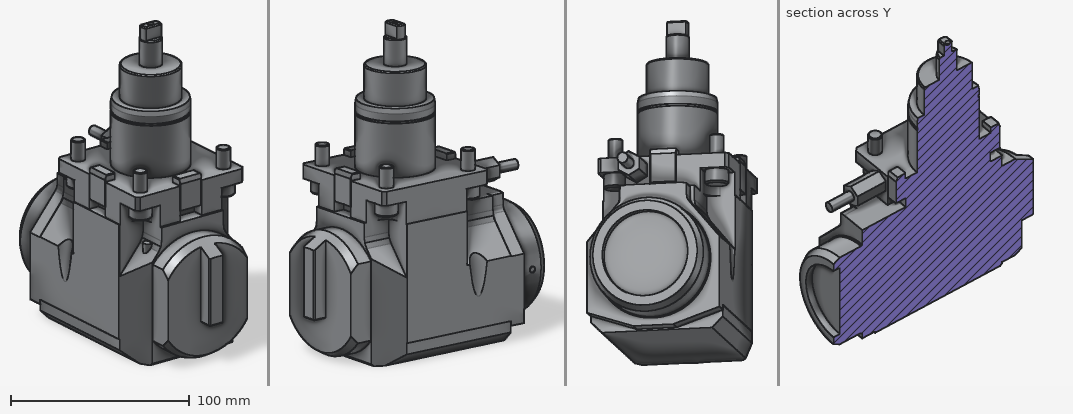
import cadquery as cq
import math

OVERLAP = 1.0
CLEAR = 50.0

TOP_Z = 84.0
TANG_BASE_Z = 76.0
SHAFT_BASE_Z = 60.0
COLLAR_BASE_Z = 40.0
SHAFT_R = 6.5
COLLAR_R = 17.5
PILOT_R = 22.5
SPINDLE_BREAK = 0.8
PILOT_LEAD_LENGTH = 2.8
PILOT_LEAD_DEPTH = 0.6
SEAL_Z = 31.4
SEAL_WIDTH = 1.2
SEAL_DEPTH = 0.5
TANG_THICKNESS = 6.0
TANG_R = 6.15
CENTER_R = 1.7
CENTER_TIP_R = 0.8
CENTER_DEPTH = 1.5

PLATE_SIDE = 75.0
PLATE_HALF = PLATE_SIDE / 2
PLATE_THICKNESS = 8.2
PLATE_CORNER = 2.0
BOLT_OFFSET = 29.0
BOLT_R = 4.0
BOLT_TOP_Z = 12.0
BOLT_HEAD_R = 6.6
BOLT_HEAD_HEIGHT = 8.0
BOLT_BREAK = 0.6
HEAD_BREAK = 1.0
NOTCH_R = 7.5
NOTCH_INNER = BOLT_OFFSET - NOTCH_R
KEY_WIDTH = 15.0
KEY_DEPTH = 6.8
KEY_TOP_Z = 4.0
KEY_BOTTOM_Z = -15.0
KEY_LEAD_LENGTH = 2.9
KEY_LEAD_DEPTH = 1.0
KEY_BREAK = 0.5

HOUSING_TOP_Z = -21.2
HOUSING_BOTTOM_Z = -103.0
HOUSING_HALF = 38.0
FLANGE_X0 = -61.8
HOUSING_X0 = -52.6
HOUSING_X1 = 38.9
SLOPE_BOTTOM_Z = -52.5
SLOPE_ANGLE = 50.0
NECK_HALF = 21.5
NECK_END_Z = -29.3
TRANSITION_HALF = 22.1
TRANSITION_Z = -32.6
SLOPE_TOP_Z = -35.4
BOTTOM_CHAMFER = 6.3
END_BREAK = 1.3
END_CHAMFER_X = 17.8
END_CHAMFER_Y = 10.0
STRIP_TOP_Z = -90.4
STRIP_INSET = 0.2

FLANGE_SLOPE_BOTTOM_Z = -52.8
FLANGE_NECK_HALF = 19.1
FLANGE_FILLET = 5.5
FLANGE_TOP_HALF = 16.3
FLANGE_TOP_DROP = 0.5
FLANGE_BOTTOM_Z = -102.0
FLANGE_BOTTOM_HALF = 11.5
FLANGE_SIDE_Z = -93.2

RELIEF_R = 7.5
RELIEF_X = -29.4
RELIEF_TILT = 9.6
RELIEF_TIP_Z = -71.7

PEG_X = 28.9
PEG_Y = 23.7
PEG_R = 2.7
PEG_TOP_Z = -32.8

CROSS_Z = -65.0
CAP_X0 = -82.5
CAP_X1 = -62.8
CAP_R = 32.5
CAP_CHAMFER_X = 4.3
CAP_CHAMFER_R = 2.6
CAP_NECK_R = 33.0
RECESS_R = 24.5
RECESS_DEPTH = 4.5
SET_SCREW_X = -71.9
SET_SCREW_R = 1.8
SET_SCREW_TOP = 32.9

DISC_R = 36.0
DISC_FLAT_HALF = 27.7
DISC_CONE_X = 48.2
DISC_X1 = 53.2
TONGUE_X1 = 61.5
TONGUE_HALF = 4.9
TONGUE_BOTTOM_Z = -77.8
TONGUE_BREAK = 0.7
CONE_ANGLE = 30.0

GLAND_Y = 14.9
GLAND_Z = -8.0
GLAND_FLATS = 12.0
GLAND_X0 = -58.0
CABLE_X0 = -73.6
CABLE_R = 3.0


def box(x0, x1, y0, y1, z0, z1):
    return cq.Workplane("XY").box(x1 - x0, y1 - y0, z1 - z0, centered=False).translate((x0, y0, z0))


def cylinder_z(x, y, r, z0, z1):
    return cq.Workplane("XY", origin=(x, y, z0)).circle(r).extrude(z1 - z0)


def cylinder_x(y, z, r, x0, x1):
    return cq.Workplane("YZ", origin=(x0, y, z)).circle(r).extrude(x1 - x0)


def mirrored_section(half, x0, x1):
    """Prism along X from the +Y half of a section, drawn from top to bottom."""
    return half.mirrorY().extrude(x1 - x0).translate((x0, 0, 0))


def add_flange_neck_and_slope(sketch):
    """Vertical neck wall blended by an arc into the slope that widens to the full flange."""
    angle = math.radians(SLOPE_ANGLE)
    turn = math.pi / 2 - angle
    corner_z = FLANGE_SLOPE_BOTTOM_Z + (HOUSING_HALF - FLANGE_NECK_HALF) * math.tan(angle)
    arc_start_z = corner_z + FLANGE_FILLET * math.tan(turn / 2)

    def arc_point(a):
        y = FLANGE_NECK_HALF + FLANGE_FILLET * (1 - math.cos(a))
        return (y, arc_start_z - FLANGE_FILLET * math.sin(a))

    sketch = sketch.lineTo(FLANGE_NECK_HALF, arc_start_z)
    sketch = sketch.threePointArc(arc_point(turn / 2), arc_point(turn))
    return sketch.lineTo(HOUSING_HALF, FLANGE_SLOPE_BOTTOM_Z)


def make_spindle():
    lower = cylinder_z(0, 0, PILOT_R, -OVERLAP, COLLAR_BASE_Z)
    lower = lower.faces(">Z").chamfer(PILOT_LEAD_LENGTH, PILOT_LEAD_DEPTH)
    seal_cut = cylinder_z(0, 0, PILOT_R + OVERLAP, SEAL_Z, SEAL_Z + SEAL_WIDTH)
    seal_cut = seal_cut.cut(cylinder_z(0, 0, PILOT_R - SEAL_DEPTH, SEAL_Z, SEAL_Z + SEAL_WIDTH))
    collar = cylinder_z(0, 0, COLLAR_R, COLLAR_BASE_Z, SHAFT_BASE_Z).faces(">Z").chamfer(SPINDLE_BREAK)
    shaft = cylinder_z(0, 0, SHAFT_R, SHAFT_BASE_Z, TANG_BASE_Z).faces(">Z").chamfer(SPINDLE_BREAK)
    half = TANG_THICKNESS / 2
    tang = cylinder_z(0, 0, TANG_R, TANG_BASE_Z - OVERLAP, TOP_Z)
    tang = tang.intersect(box(-half, half, -TANG_R, TANG_R, SHAFT_BASE_Z, TOP_Z))
    tang = tang.faces(">Z").chamfer(SPINDLE_BREAK)
    center = (
        cq.Workplane("XY", origin=(0, 0, TOP_Z))
        .circle(CENTER_R)
        .workplane(offset=-CENTER_DEPTH)
        .circle(CENTER_TIP_R)
        .loft()
    )
    return lower.cut(seal_cut).union(collar).union(shaft).union(tang).cut(center)


def make_mount():
    mount = box(-PLATE_HALF, PLATE_HALF, -PLATE_HALF, PLATE_HALF, HOUSING_TOP_Z, 0)
    mount = mount.edges("|Z").chamfer(PLATE_CORNER)
    notch_side = PLATE_HALF - NOTCH_INNER + OVERLAP
    notch = box(0, notch_side, 0, notch_side, HOUSING_TOP_Z, -PLATE_THICKNESS)
    notch = notch.edges("|Z and <X and <Y").fillet(NOTCH_R)
    notch = notch.translate((NOTCH_INNER, NOTCH_INNER, 0))
    for turn in range(4):
        mount = mount.cut(notch.rotate((0, 0, 0), (0, 0, 1), 90 * turn))
    return mount


def make_bolt(x, y):
    head_z = -PLATE_THICKNESS - BOLT_HEAD_HEIGHT
    head = cylinder_z(x, y, BOLT_HEAD_R, head_z, -PLATE_THICKNESS).faces("<Z").chamfer(HEAD_BREAK)
    shank = cylinder_z(x, y, BOLT_R, -PLATE_THICKNESS, BOLT_TOP_Z).faces(">Z").chamfer(BOLT_BREAK)
    return head.union(shank)


def make_key():
    """Key on the -Y side of the plate."""
    key = box(-KEY_WIDTH / 2, KEY_WIDTH / 2, -PLATE_HALF, KEY_DEPTH - PLATE_HALF, KEY_BOTTOM_Z, KEY_TOP_Z)
    key = key.edges("(|Z and <Y) or (|Y and >Z)").chamfer(KEY_BREAK)
    lead = (
        cq.Workplane("YZ")
        .moveTo(-PLATE_HALF, KEY_TOP_Z)
        .lineTo(KEY_LEAD_DEPTH - PLATE_HALF, KEY_TOP_Z)
        .lineTo(-PLATE_HALF, KEY_TOP_Z - KEY_LEAD_LENGTH)
        .close()
        .extrude(KEY_WIDTH, both=True)
    )
    return key.cut(lead)


def make_housing_side_cuts():
    """Cutting tools for the +Y side: lower side strip, bottom bevel and +X end bevel."""
    strip = box(HOUSING_X0, HOUSING_X1, HOUSING_HALF - STRIP_INSET, CLEAR, HOUSING_BOTTOM_Z, STRIP_TOP_Z)
    bottom_bevel = (
        cq.Workplane("YZ", origin=(HOUSING_X0, 0, 0))
        .moveTo(HOUSING_HALF - BOTTOM_CHAMFER, HOUSING_BOTTOM_Z)
        .lineTo(HOUSING_HALF, HOUSING_BOTTOM_Z)
        .lineTo(HOUSING_HALF, HOUSING_BOTTOM_Z + BOTTOM_CHAMFER)
        .close()
        .extrude(HOUSING_X1 - HOUSING_X0)
    )
    end_bevel = (
        cq.Workplane("XY", origin=(0, 0, HOUSING_BOTTOM_Z))
        .moveTo(HOUSING_X1 - END_CHAMFER_X, HOUSING_HALF)
        .lineTo(HOUSING_X1, HOUSING_HALF)
        .lineTo(HOUSING_X1, HOUSING_HALF - END_CHAMFER_Y)
        .close()
        .extrude(HOUSING_TOP_Z - HOUSING_BOTTOM_Z)
    )
    return strip, bottom_bevel, end_bevel


def make_housing():
    slope_rise = SLOPE_TOP_Z - SLOPE_BOTTOM_Z
    slope_top_half = HOUSING_HALF - slope_rise / math.tan(math.radians(SLOPE_ANGLE))
    necked = (
        cq.Workplane("YZ")
        .moveTo(0, HOUSING_TOP_Z)
        .lineTo(NECK_HALF, HOUSING_TOP_Z)
        .lineTo(NECK_HALF, NECK_END_Z)
        .lineTo(TRANSITION_HALF, TRANSITION_Z)
        .lineTo(slope_top_half, SLOPE_TOP_Z)
        .lineTo(HOUSING_HALF, SLOPE_BOTTOM_Z)
        .lineTo(HOUSING_HALF, HOUSING_BOTTOM_Z)
        .lineTo(0, HOUSING_BOTTOM_Z)
    )
    housing = mirrored_section(necked, HOUSING_X0, HOUSING_X1)

    column = box(-NOTCH_INNER, NOTCH_INNER, -HOUSING_HALF, HOUSING_HALF, HOUSING_BOTTOM_Z, HOUSING_TOP_Z)
    housing = housing.union(column)

    for tool in make_housing_side_cuts():
        housing = housing.cut(tool).cut(tool.mirror("XZ"))
    return housing.edges(">X and <Z").chamfer(END_BREAK)


def make_flange():
    section = (
        cq.Workplane("YZ")
        .moveTo(0, HOUSING_TOP_Z)
        .lineTo(FLANGE_TOP_HALF, HOUSING_TOP_Z)
        .lineTo(FLANGE_NECK_HALF, HOUSING_TOP_Z - FLANGE_TOP_DROP)
    )
    section = add_flange_neck_and_slope(section)
    section = (
        section.lineTo(HOUSING_HALF, FLANGE_SIDE_Z)
        .lineTo(FLANGE_BOTTOM_HALF, FLANGE_BOTTOM_Z)
        .lineTo(0, FLANGE_BOTTOM_Z)
    )
    return mirrored_section(section, FLANGE_X0, HOUSING_X0)


def make_relief():
    """Tilted tool-access groove that runs out on the -Y face."""
    center_y = -HOUSING_HALF - RELIEF_R / math.cos(math.radians(RELIEF_TILT))
    top_z = SLOPE_BOTTOM_Z + 2 * RELIEF_R
    groove = cylinder_z(RELIEF_X, center_y, RELIEF_R, RELIEF_TIP_Z - CLEAR, top_z)
    return groove.rotate((0, center_y, RELIEF_TIP_Z), (1, center_y, RELIEF_TIP_Z), -RELIEF_TILT)


def make_cap():
    cap = cylinder_x(0, CROSS_Z, CAP_R, CAP_X0, CAP_X1)
    cap = cap.faces("<X").edges().chamfer(CAP_CHAMFER_X, CAP_CHAMFER_R)
    cap = cap.cut(cylinder_x(0, CROSS_Z, RECESS_R, CAP_X0, CAP_X0 + RECESS_DEPTH))
    neck = cylinder_x(0, CROSS_Z, CAP_NECK_R, CAP_X1, FLANGE_X0)
    screw = cq.Workplane("XZ", origin=(SET_SCREW_X, SET_SCREW_TOP, CROSS_Z)).circle(SET_SCREW_R)
    return cap.union(neck).union(screw.extrude(SET_SCREW_TOP - RECESS_R - OVERLAP))


def make_output():
    """Round disc with two flats and an off-centre tongue, both under one cone."""
    tip_r = DISC_R - (TONGUE_X1 - DISC_CONE_X) * math.tan(math.radians(CONE_ANGLE))
    envelope = (
        cq.Workplane("XY")
        .moveTo(HOUSING_X1, 0)
        .lineTo(HOUSING_X1, DISC_R)
        .lineTo(DISC_CONE_X, DISC_R)
        .lineTo(TONGUE_X1, tip_r)
        .lineTo(TONGUE_X1, 0)
        .close()
        .revolve(360, (0, 0, 0), (1, 0, 0))
        .translate((0, 0, CROSS_Z))
    )
    top_z = CROSS_Z + DISC_R
    disc = box(HOUSING_X1, DISC_X1, -DISC_FLAT_HALF, DISC_FLAT_HALF, CROSS_Z - DISC_R, top_z)
    tongue = box(HOUSING_X1, TONGUE_X1, -TONGUE_HALF, TONGUE_HALF, TONGUE_BOTTOM_Z, top_z)
    tongue = tongue.edges("(>X and |Z) or (<Z and (not <X))").chamfer(TONGUE_BREAK)
    return disc.union(tongue).intersect(envelope)


def make_gland():
    corner_diameter = GLAND_FLATS / math.cos(math.pi / 6)
    nut = cq.Workplane("YZ").polygon(6, corner_diameter).extrude(OVERLAP - PLATE_HALF - GLAND_X0)
    nut = nut.rotate((0, 0, 0), (1, 0, 0), 90).translate((GLAND_X0, GLAND_Y, GLAND_Z))
    return nut.union(cylinder_x(GLAND_Y, GLAND_Z, CABLE_R, CABLE_X0, GLAND_X0))


relief = make_relief()
housing = make_housing().cut(relief).cut(relief.mirror("XZ"))
peg = cylinder_z(PEG_X, -PEG_Y, PEG_R, SLOPE_BOTTOM_Z, PEG_TOP_Z)
result = housing.union(peg).union(make_flange()).union(make_mount())

key_slot = box(-KEY_WIDTH / 2, KEY_WIDTH / 2, -PLATE_HALF, KEY_DEPTH - PLATE_HALF, HOUSING_TOP_Z, 0)
key = make_key()
for key_turn in (-90, 0, 90):
    result = result.cut(key_slot.rotate((0, 0, 0), (0, 0, 1), key_turn))
    result = result.union(key.rotate((0, 0, 0), (0, 0, 1), key_turn))

for bolt_x in (-BOLT_OFFSET, BOLT_OFFSET):
    for bolt_y in (-BOLT_OFFSET, BOLT_OFFSET):
        result = result.union(make_bolt(bolt_x, bolt_y))

result = result.union(make_spindle()).union(make_cap()).union(make_output()).union(make_gland())